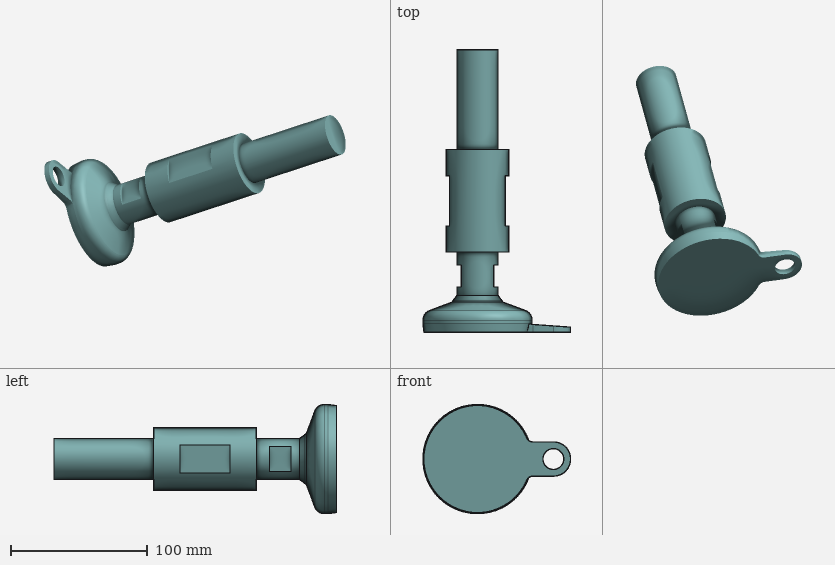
import cadquery as cq
import math

total_length = 206.5
total_width = 108.0

foot_diameter = 80.0
foot_radius = foot_diameter / 2
foot_base_diameter = 78.3
foot_base_radius = foot_base_diameter / 2
rim_taper_top = 6.5
rim_top = 8.9
shoulder_round = 7.6
bevel_top_radius = 17.8
bevel_top = 23.3
bevel_bottom_radius = 18.8
bevel_bottom = 22.0
shoulder_slope = math.radians(22.7)

lug_tip = total_width - foot_radius
lug_radius = 12.5
lug_hole_diameter = 15.0
lug_root_height = 6.0
lug_tip_height = 4.0
lug_root_fillet = 5.0
lug_centre = lug_tip - lug_radius

rod_radius = 15.0
cone_top = 27.0
rod_flat_start = 33.2
rod_flat_end = 49.1
rod_flat_offset = 12.0

sleeve_radius = 23.0
sleeve_start = 58.6
sleeve_end = 133.6
sleeve_flat_start = 77.9
sleeve_flat_end = 114.5
sleeve_flat_offset = 20.5


def revolve_about_y(profile):
    return profile.close().revolve(360, (0, 0, 0), (0, 1, 0))


def cylinder_along_y(radius, start, end):
    return cq.Workplane("XZ", origin=(0, start, 0)).circle(radius).extrude(start - end)


def cut_flats(body, radius, offset, start, end):
    """Mill a pair of opposite wrench flats facing -X and +X."""
    depth = radius - offset
    for side in (-1, 1):
        cutter = cq.Workplane("XY").box(2 * depth, end - start, 2 * radius)
        body = body.cut(cutter.translate((side * (offset + depth), (start + end) / 2, 0)))
    return body


def make_disc():
    """Turned foot: rounded rim, sloping shoulder, and a bevel and cone up to the rod."""
    round_centre = foot_radius - shoulder_round

    def round_point(angle):
        return (
            round_centre + shoulder_round * math.cos(angle),
            rim_top + shoulder_round * math.sin(angle),
        )

    round_end = math.pi / 2 - shoulder_slope
    profile = (
        cq.Workplane("XY")
        .moveTo(0, 0)
        .lineTo(foot_base_radius, 0)
        .lineTo(foot_radius, rim_taper_top)
        .lineTo(foot_radius, rim_top)
        .threePointArc(round_point(round_end / 2), round_point(round_end))
        .lineTo(bevel_bottom_radius, bevel_bottom)
        .lineTo(bevel_top_radius, bevel_top)
        .lineTo(rod_radius, cone_top)
        .lineTo(0, cone_top)
    )
    return revolve_about_y(profile)


def make_lug():
    """Tapered lug outline, with concave fillets where it leaves the disc."""
    fillet_z = lug_radius + lug_root_fillet
    fillet_reach = foot_base_radius + lug_root_fillet
    fillet_x = math.sqrt(fillet_reach**2 - fillet_z**2)
    rim_x = fillet_x * foot_base_radius / fillet_reach
    rim_z = fillet_z * foot_base_radius / fillet_reach
    mid_angle = (math.atan2(-fillet_z, -fillet_x) - math.pi / 2) / 2
    mid_x = fillet_x + lug_root_fillet * math.cos(mid_angle)
    mid_z = fillet_z + lug_root_fillet * math.sin(mid_angle)

    outline = (
        cq.Workplane("XZ")
        .moveTo(0, -rim_z)
        .lineTo(rim_x, -rim_z)
        .threePointArc((mid_x, -mid_z), (fillet_x, -lug_radius))
        .lineTo(lug_centre, -lug_radius)
        .threePointArc((lug_tip, 0), (lug_centre, lug_radius))
        .lineTo(fillet_x, lug_radius)
        .threePointArc((mid_x, mid_z), (rim_x, rim_z))
        .lineTo(0, rim_z)
        .close()
        .extrude(-lug_root_height)
    )
    taper = (
        cq.Workplane("XY")
        .polyline([
            (0, 0),
            (lug_tip, 0),
            (lug_tip, lug_tip_height),
            (foot_base_radius, lug_root_height),
            (0, lug_root_height),
        ])
        .close()
        .extrude(foot_radius, both=True)
    )
    hole = cylinder_along_y(lug_hole_diameter / 2, 0, lug_root_height).translate((lug_centre, 0, 0))
    return outline.intersect(taper).cut(hole)


def make_rod():
    """Round rod along the whole height above the foot, with wrench flats near the foot."""
    rod = cylinder_along_y(rod_radius, cone_top, total_length)
    return cut_flats(rod, rod_radius, rod_flat_offset, rod_flat_start, rod_flat_end)


def make_levelling_foot():
    """Disc, fixing lug and rod in one piece."""
    return make_disc().union(make_lug()).union(make_rod())


def make_sleeve():
    """Tube closely fitted around the rod, with its own pair of wrench flats."""
    sleeve = cylinder_along_y(sleeve_radius, sleeve_start, sleeve_end)
    sleeve = cut_flats(
        sleeve, sleeve_radius, sleeve_flat_offset, sleeve_flat_start, sleeve_flat_end
    )
    return sleeve.cut(cylinder_along_y(rod_radius, sleeve_start, sleeve_end))


levelling_foot = make_levelling_foot()
sleeve = make_sleeve()
result = cq.Compound.makeCompound([levelling_foot.val(), sleeve.val()])